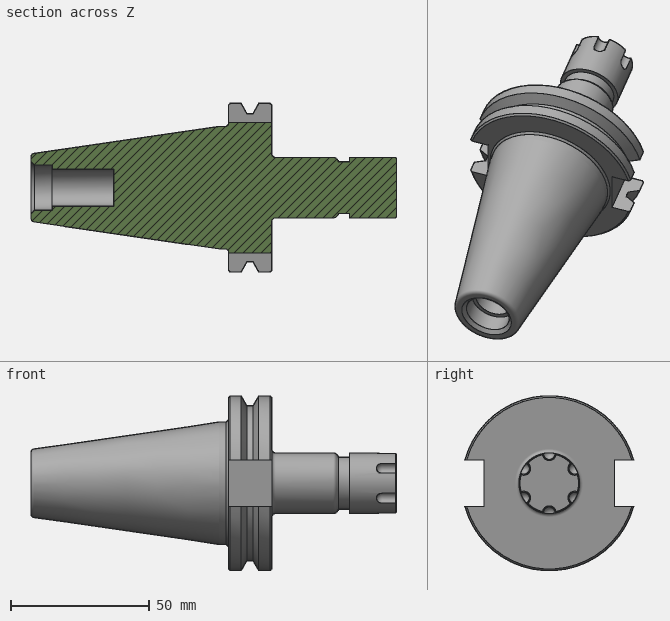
import cadquery as cq
import math

total_length = 132.5

gauge_diameter = 44.5
gauge_x = 68.2
taper_per_length = 7 / 24
taper_end_round = 1.3
relief_start_x = 70.7
relief_end_diameter = 46.0
bore_mouth_diameter = 19.0
bore_diameter = 16.3
bore_depth = 7.7
thread_diameter = 13.4
thread_depth = 30.0

flange_diameter = 63.5
flange_start_x = 71.5
flange_end_x = 87.3
flange_chamfer = 0.7
groove_center_x = 79.3
groove_top_width = 6.4
groove_bottom_width = 2.3
groove_depth = 3.6
drive_slot_width = 16.7
drive_slot_floor_y = 23.7

neck_diameter = 22.0
neck_fillet = 1.3
neck_end_x = 111.4
neck_end_round = 1.3
neck_end_chamfer = 1.2
undercut_diameter = 19.0
nut_start_x = 115.4
nut_end_chamfer = 0.4
wrench_slot_count = 6
wrench_slot_width = 4.1
wrench_slot_start_x = 125.2
wrench_slot_depth = 2.4

gauge_radius = gauge_diameter / 2
flange_radius = flange_diameter / 2
neck_radius = neck_diameter / 2
undercut_radius = undercut_diameter / 2
taper_end_radius = (gauge_diameter - gauge_x * taper_per_length) / 2


def make_taper():
    taper = (
        cq.Workplane("XY")
        .polyline(
            [
                (0, 0),
                (0, taper_end_radius),
                (gauge_x, gauge_radius),
                (relief_start_x, gauge_radius),
                (flange_start_x, relief_end_diameter / 2),
                (flange_start_x, 0),
            ]
        )
        .close()
        .revolve(360, (0, 0, 0), (1, 0, 0))
    )
    return taper.faces("<X").edges().fillet(taper_end_round)


def make_flange():
    half_top = groove_top_width / 2
    half_bottom = groove_bottom_width / 2
    groove_radius = flange_radius - groove_depth
    rim_radius = flange_radius - flange_chamfer
    flange = (
        cq.Workplane("XY")
        .polyline(
            [
                (flange_start_x, 0),
                (flange_start_x, rim_radius),
                (flange_start_x + flange_chamfer, flange_radius),
                (groove_center_x - half_top, flange_radius),
                (groove_center_x - half_bottom, groove_radius),
                (groove_center_x + half_bottom, groove_radius),
                (groove_center_x + half_top, flange_radius),
                (flange_end_x - flange_chamfer, flange_radius),
                (flange_end_x, rim_radius),
                (flange_end_x, 0),
            ]
        )
        .close()
        .revolve(360, (0, 0, 0), (1, 0, 0))
    )
    flange_middle_x = (flange_start_x + flange_end_x) / 2
    for side in (-1, 1):
        slot = cq.Workplane("XY").box(
            flange_end_x - flange_start_x,
            flange_radius,
            drive_slot_width,
        )
        slot_y = side * (drive_slot_floor_y + flange_radius / 2)
        flange = flange.cut(slot.translate((flange_middle_x, slot_y, 0)))
    return flange


def make_neck_and_nut():
    chamfer_angle = math.radians(45)
    chamfer_start_x = neck_end_x - neck_end_chamfer
    round_start_x = chamfer_start_x - neck_end_round * math.tan(chamfer_angle / 2)
    round_width = neck_end_round * math.sin(chamfer_angle)
    round_drop = neck_end_round * (1 - math.cos(chamfer_angle))
    return (
        cq.Workplane("XY")
        .moveTo(flange_end_x, 0)
        .lineTo(flange_end_x, neck_radius + neck_fillet)
        .radiusArc((flange_end_x + neck_fillet, neck_radius), -neck_fillet)
        .lineTo(round_start_x, neck_radius)
        .radiusArc((round_start_x + round_width, neck_radius - round_drop), neck_end_round)
        .lineTo(neck_end_x, neck_radius - neck_end_chamfer)
        .lineTo(neck_end_x, undercut_radius)
        .lineTo(nut_start_x, undercut_radius)
        .lineTo(nut_start_x, neck_radius)
        .lineTo(total_length, neck_radius)
        .lineTo(total_length, 0)
        .close()
        .revolve(360, (0, 0, 0), (1, 0, 0))
    )


def make_wrench_slot(angle):
    """Round-bottomed groove with a ball end, running out through the nut end."""
    radius = wrench_slot_width / 2
    ball_x = wrench_slot_start_x + radius
    axis_z = neck_radius - wrench_slot_depth + radius
    groove = cq.Workplane("YZ", origin=(ball_x, 0, axis_z)).circle(radius).extrude(total_length)
    ball = cq.Workplane("XY").sphere(radius).translate((ball_x, 0, axis_z))
    return groove.union(ball).rotate((0, 0, 0), (1, 0, 0), angle)


def make_bore():
    mouth_radius = bore_mouth_diameter / 2
    bore_radius = bore_diameter / 2
    thread_radius = thread_diameter / 2
    return (
        cq.Workplane("XY")
        .polyline(
            [
                (0, 0),
                (0, mouth_radius),
                (mouth_radius - bore_radius, bore_radius),
                (bore_depth, bore_radius),
                (bore_depth, thread_radius),
                (thread_depth, thread_radius),
                (thread_depth, 0),
            ]
        )
        .close()
        .revolve(360, (0, 0, 0), (1, 0, 0))
    )


result = make_taper().union(make_flange()).union(make_neck_and_nut()).cut(make_bore())
for index in range(wrench_slot_count):
    result = result.cut(make_wrench_slot(index * 360 / wrench_slot_count))

result = result.faces(">X").edges().chamfer(nut_end_chamfer)